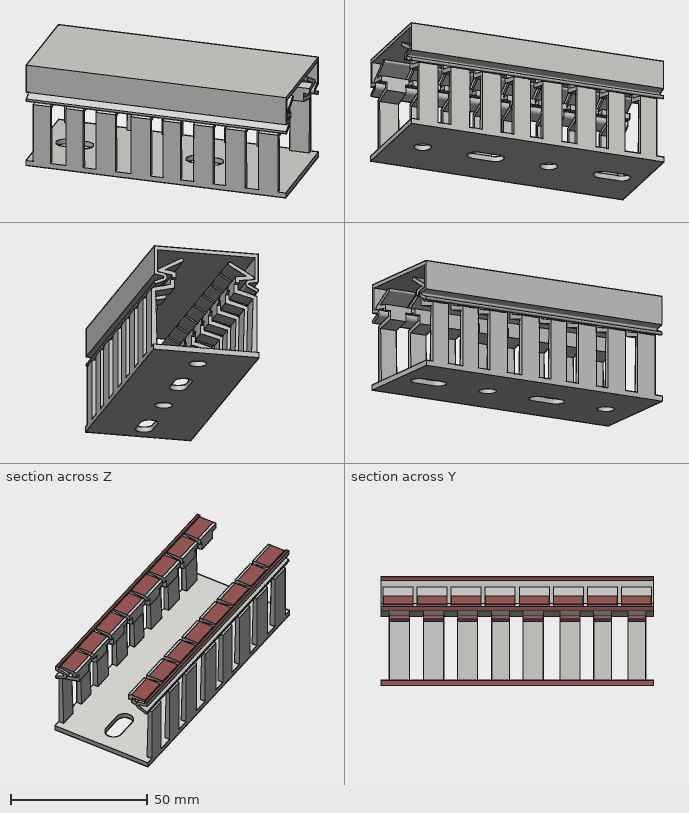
import cadquery as cq
import math

length = 100.0
width = 40.0
height = 40.0

floor_thickness = 2.0
wall_root = 2.1
wall_top = 1.55
shoulder_z = 24.7
shoulder_under_z = 23.55

groove_y = 7.2
groove_low_z = 26.7
groove_high_z = 29.5
hook_y = 8.75
hook_low_z = 25.3
hook_high_z = 30.75
neck_z = 28.55

root_y = 2.45
root_z = 30.9
arm_thickness = 1.4
arm_radius = arm_thickness / 2
arm_slope = math.radians(29)
arm_reach = 9.6
flank_slope = math.radians(9)

finger_pitch = 12.5
head_width = 11.0
narrow_finger = 6.6
wide_finger = 7.5
fingers = [
    (2.8, narrow_finger),
    (15.4, narrow_finger),
    (26.9, wide_finger),
    (40.4, wide_finger),
    (52.8, narrow_finger),
    (64.5, wide_finger),
    (76.9, wide_finger),
    (89.5, wide_finger),
]

opening_pitch = 25.0
slot_length = 14.2
slot_width = 6.5
hole_diameter = 6.5

cover_inset = 0.3
cover_top = 1.5
cover_wall = 1.2

bend_y = 3.55
bend_z = 28.2
bend_inner = 0.33
bend_outer = bend_inner + cover_wall
upper_leg_slope = math.radians(11)
lower_leg_slope = math.radians(24.5)
lip_bulge = 0.35


def extrude_along_duct(sketch, start, run):
    """Extrude a closed Y-Z outline along X."""
    return sketch.close().extrude(run).translate((start, 0, 0))


def polar(centre, radius, angle):
    """Point at an angle from +Y towards +Z about a centre in the Y-Z plane."""
    return (centre[0] + radius * math.cos(angle), centre[1] + radius * math.sin(angle))


def on_both_sides(solid):
    """Add the mirror image on the opposite side of the duct."""
    middle = (0, width / 2, 0)
    return solid.union(solid.mirror("XZ", middle))


def make_finger(start, finger_width):
    """Tapered finger up to the neck, with the lower half of its hook."""
    outline = cq.Workplane("YZ").polyline([
        (0, 0),
        (0, shoulder_z),
        (groove_y, groove_low_z),
        (groove_y, neck_z),
        (hook_y, neck_z),
        (hook_y, hook_low_z),
        (wall_top, shoulder_under_z),
        (wall_root, floor_thickness),
        (wall_root, 0),
    ])
    return extrude_along_duct(outline, start, finger_width)


def make_head(start):
    """Wide head of a finger: upper half of the hook and the arm with rounded ends."""
    root = (root_y, root_z)
    tip = polar(root, arm_reach, arm_slope)
    above = arm_slope + math.pi / 2
    below = arm_slope - math.pi / 2
    flank_below = -flank_slope - math.pi / 2

    arm_under = polar(root, arm_radius, below)
    top_run = (arm_under[1] - hook_high_z + (hook_y - arm_under[0]) * math.tan(arm_slope)) / (
        math.tan(arm_slope) + math.tan(flank_slope))
    crotch = (hook_y - top_run, hook_high_z + top_run * math.tan(flank_slope))

    outline = (
        cq.Workplane("YZ")
        .moveTo(groove_y, neck_z)
        .lineTo(groove_y, groove_high_z)
        .lineTo(*polar(root, arm_radius, flank_below))
        .threePointArc(polar(root, arm_radius, math.pi), polar(root, arm_radius, above))
        .lineTo(*polar(tip, arm_radius, above))
        .threePointArc(polar(tip, arm_radius, arm_slope), polar(tip, arm_radius, below))
        .lineTo(*crotch)
        .lineTo(hook_y, hook_high_z)
        .lineTo(hook_y, neck_z)
    )
    return extrude_along_duct(outline, start, head_width)


def cut_floor_openings(duct):
    """Slots and round holes alternate along the floor."""
    for index in range(round(length / opening_pitch)):
        x = (index + 0.5) * opening_pitch
        opening = cq.Workplane("XY").center(x, width / 2)
        if index % 2 == 0:
            opening = opening.slot2D(slot_length, slot_width)
        else:
            opening = opening.circle(hole_diameter / 2)
        duct = duct.cut(opening.extrude(floor_thickness))
    return duct


def make_duct():
    duct = cq.Workplane("XY").box(length, width, floor_thickness, centered=False)
    head_margin = (finger_pitch - head_width) / 2
    for index, (start, finger_width) in enumerate(fingers):
        finger = make_finger(start, finger_width)
        head = make_head(index * finger_pitch + head_margin)
        duct = duct.union(on_both_sides(finger.union(head)))
    return cut_floor_openings(duct)


def make_cover_side():
    """Half of the cover: half of the top, one side and its V-shaped snap lip."""
    bend = (bend_y, bend_z)
    inner_y = cover_inset + cover_wall
    up = math.pi / 2 - upper_leg_slope
    down = lower_leg_slope - math.pi / 2
    upper_outside = polar(bend, bend_outer, up)
    upper_inside = polar(bend, bend_inner, up)
    lower_outside = polar(bend, bend_outer, down)
    lower_inside = polar(bend, bend_inner, down)

    inner_foot_z = upper_outside[1] + (upper_outside[0] - inner_y) * math.tan(upper_leg_slope)
    outer_foot_z = upper_inside[1] + (upper_inside[0] - cover_inset) * math.tan(upper_leg_slope)

    half_wall = cover_wall / 2
    leg_middle = polar(bend, bend_inner + half_wall, down)
    leg_end_y = cover_inset + lip_bulge
    leg_run = leg_middle[0] - leg_end_y
    leg_end = (leg_end_y, leg_middle[1] - leg_run * math.tan(lower_leg_slope))

    outline = (
        cq.Workplane("YZ")
        .moveTo(width / 2, height)
        .lineTo(cover_inset, height)
        .lineTo(cover_inset, outer_foot_z)
        .lineTo(*upper_inside)
        .threePointArc(polar(bend, bend_inner, 0), lower_inside)
        .lineTo(*polar(leg_end, half_wall, down + math.pi))
        .threePointArc(
            polar(leg_end, lip_bulge, lower_leg_slope + math.pi),
            polar(leg_end, half_wall, down),
        )
        .lineTo(*lower_outside)
        .threePointArc(polar(bend, bend_outer, 0), upper_outside)
        .lineTo(inner_y, inner_foot_z)
        .lineTo(inner_y, height - cover_top)
        .lineTo(width / 2, height - cover_top)
    )
    return extrude_along_duct(outline, 0, length)


def make_cover():
    return on_both_sides(make_cover_side()).clean()


duct = make_duct()
cover = make_cover()

result = cq.Compound.makeCompound([duct.val(), cover.val()])